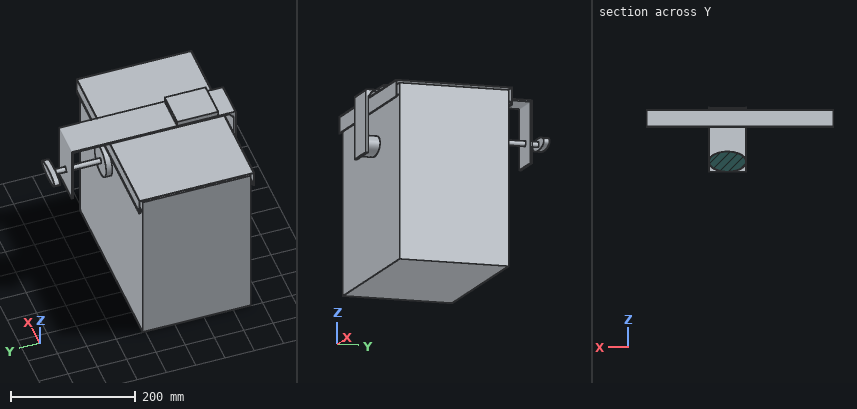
import cadquery as cq

box_length = 300.0
box_depth = 184.5
box_height = 289.5
box_front_y = 24.8
box_back_y = box_front_y + box_depth
box_middle_y = box_front_y + box_depth / 2

lid_depth = 196.0
lid_sheet = 0.5
lid_top_z = 294.2
lid_lip_height = 28.2
lid_hem_reach = 4.0

strap_width = 60.0
strap_left_x = 140.0
strap_middle_x = strap_left_x + strap_width / 2
strap_depth = 280.5
strap_thickness = 3.0
front_leg_thickness = 4.0
strap_top_z = 298.0
strap_bottom_z = 194.5
gusset_depth = 7.0
gusset_height = 9.0
strap_bend_radius = 2.5
back_inner_radius = 1.5

block_front_y = 30.5
block_depth = 70.0
block_height = 9.0
boss_height = 33.0
contact_gap = 1.0

overall_depth = 310.0
screw_z = 232.2
shaft_diameter = 9.0
shaft_hole_diameter = 10.0
handle_width = strap_width
handle_height = 20.0
handle_thickness = 10.0
disc_diameter = 55.0
disc_thickness = 10.5
disc_front_y = box_back_y + contact_gap
disc_back_y = disc_front_y + disc_thickness
handle_front_y = overall_depth - handle_thickness


def plane_facing_back(x, y, z):
    """Sketch plane at a point, with its normal along +Y."""
    return cq.Workplane(cq.Plane(origin=(x, y, z), xDir=(1, 0, 0), normal=(0, 1, 0)))


def make_box():
    return cq.Workplane("XY").box(box_length, box_depth, box_height, centered=False).translate(
        (0, box_front_y, 0)
    )


def make_lid():
    front_y = box_middle_y - lid_depth / 2
    back_y = front_y + lid_depth
    bottom_z = lid_top_z - lid_lip_height
    hem_end_z = bottom_z + lid_hem_reach
    hem_rise = lid_sheet * 2**0.5
    inner_corner_z = bottom_z + lid_sheet + hem_rise
    profile = [
        (back_y, lid_top_z),
        (back_y, bottom_z),
        (back_y - lid_hem_reach, hem_end_z),
        (back_y - lid_hem_reach, hem_end_z + hem_rise),
        (back_y - lid_sheet, inner_corner_z),
        (back_y - lid_sheet, lid_top_z - lid_sheet),
        (front_y + lid_sheet, lid_top_z - lid_sheet),
        (front_y + lid_sheet, inner_corner_z),
        (front_y + lid_hem_reach, hem_end_z + hem_rise),
        (front_y + lid_hem_reach, hem_end_z),
        (front_y, bottom_z),
        (front_y, lid_top_z),
    ]
    return cq.Workplane("YZ").polyline(profile).close().extrude(box_length)


def make_strap():
    underside_z = strap_top_z - strap_thickness
    profile = [
        (0, strap_bottom_z),
        (front_leg_thickness, strap_bottom_z),
        (front_leg_thickness, underside_z - gusset_height),
        (front_leg_thickness + gusset_depth, underside_z),
        (strap_depth - strap_thickness, underside_z),
        (strap_depth - strap_thickness, strap_bottom_z),
        (strap_depth, strap_bottom_z),
        (strap_depth, strap_top_z),
        (0, strap_top_z),
    ]
    band = cq.Workplane("YZ", origin=(strap_left_x, 0, 0)).polyline(profile).close().extrude(strap_width)
    band = band.edges("|X and >Z").fillet(strap_bend_radius)
    inner_bend = cq.selectors.NearestToPointSelector(
        (strap_middle_x, strap_depth - strap_thickness, underside_z)
    )
    band = band.edges(inner_bend).fillet(back_inner_radius)

    boss = (
        plane_facing_back(strap_middle_x, front_leg_thickness, strap_bottom_z + boss_height / 2)
        .ellipse(strap_width / 2, boss_height / 2)
        .extrude(box_front_y - contact_gap - front_leg_thickness)
    )
    shaft_hole = (
        plane_facing_back(strap_middle_x, strap_depth - strap_thickness, screw_z)
        .circle(shaft_hole_diameter / 2)
        .extrude(strap_thickness)
    )
    return band.union(boss).cut(shaft_hole)


def make_block():
    return cq.Workplane("XY").box(strap_width, block_depth, block_height, centered=False).translate(
        (strap_left_x, block_front_y, strap_top_z)
    )


def make_screw():
    shaft = (
        plane_facing_back(strap_middle_x, disc_back_y, screw_z)
        .circle(shaft_diameter / 2)
        .extrude(handle_front_y - disc_back_y)
    )
    handle = (
        plane_facing_back(strap_middle_x, handle_front_y, screw_z)
        .ellipse(handle_width / 2, handle_height / 2)
        .extrude(handle_thickness)
    )
    disc = (
        plane_facing_back(strap_middle_x, disc_front_y, screw_z)
        .circle(disc_diameter / 2)
        .extrude(disc_thickness)
    )
    return shaft.union(handle).union(disc)


box = make_box()
lid = make_lid()
strap = make_strap()
block = make_block()
screw = make_screw()

result = cq.Compound.makeCompound(
    [box.val(), lid.val(), strap.val(), block.val(), screw.val()]
)